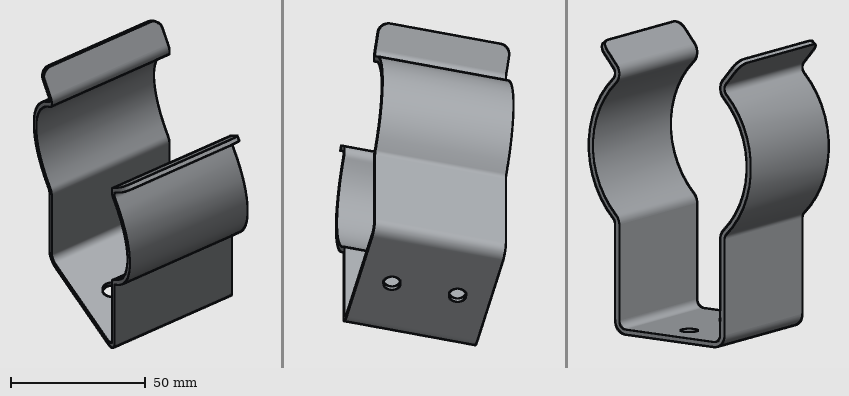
import cadquery as cq
import math

height = 110.0
barrel_width = 74.0
depth = 50.0
thickness = 2.0

wall_half_width = 25.0
base_bend_outer_radius = 5.0
hole_diameter = 6.5
hole_spacing = 25.1

barrel_center_z = 70.0
barrel_outer_radius = barrel_width / 2
bend_radius = 3.0

lip_tilt = math.radians(40)
lip_corner_radius = 4.0

bend_center_x = wall_half_width + bend_radius
center_distance = barrel_outer_radius + bend_radius
bend_angle = math.acos(bend_center_x / center_distance)
bend_rise = center_distance * math.sin(bend_angle)
wall_bend_z = barrel_center_z - bend_rise
throat_bend_z = barrel_center_z + bend_rise

throat_inner_radius = bend_radius + thickness
lip_rise = height - throat_bend_z - throat_inner_radius * math.sin(lip_tilt)
lip_length = lip_rise / math.cos(lip_tilt)


def in_space(point):
    """Point of the XZ plane as a vector."""
    return cq.Vector(point[0], 0, point[1])


def polar(center, radius, angle):
    """Point on a circle in the XZ plane; angle is measured from +X toward +Z."""
    return (center[0] + radius * math.cos(angle), center[1] + radius * math.sin(angle))


def line(start, end):
    """Straight edge in the XZ plane."""
    return cq.Edge.makeLine(in_space(start), in_space(end))


def arc(start, middle, end):
    """Circular edge in the XZ plane."""
    return cq.Edge.makeThreePointArc(in_space(start), in_space(middle), in_space(end))


def sheet_surface(inset):
    """Edges of the +X sheet surface lying `inset` inside the outer one, from base to lip."""
    wall_x = wall_half_width - inset
    base_radius = base_bend_outer_radius - inset
    base_center = (wall_x - base_radius, base_bend_outer_radius)
    barrel_radius = barrel_outer_radius - inset
    barrel_center = (0, barrel_center_z)
    radius = bend_radius + inset
    wall_bend = (bend_center_x, wall_bend_z)
    throat_bend = (bend_center_x, throat_bend_z)

    lip_start_angle = math.pi - lip_tilt
    lip_start = polar(throat_bend, radius, lip_start_angle)
    lip_end = polar(lip_start, lip_length, math.pi / 2 - lip_tilt)
    lip_middle_angle = math.pi + (bend_angle - lip_tilt) / 2

    base_start = (0, inset)
    base_end = (base_center[0], inset)
    wall_start = (wall_x, base_center[1])
    wall_end = (wall_x, wall_bend_z)
    barrel_start = polar(barrel_center, barrel_radius, -bend_angle)
    barrel_end = polar(barrel_center, barrel_radius, bend_angle)
    return [
        line(base_start, base_end),
        arc(base_end, polar(base_center, base_radius, -math.pi / 4), wall_start),
        line(wall_start, wall_end),
        arc(wall_end, polar(wall_bend, radius, math.pi - bend_angle / 2), barrel_start),
        arc(barrel_start, polar(barrel_center, barrel_radius, 0), barrel_end),
        arc(barrel_end, polar(throat_bend, radius, lip_middle_angle), lip_start),
        line(lip_start, lip_end),
    ]


def half_clip():
    """The +X half of the bent sheet, with rounded corners on its lip."""
    outer = sheet_surface(0)
    inner = sheet_surface(thickness)
    base_cut = cq.Edge.makeLine(inner[0].startPoint(), outer[0].startPoint())
    lip_end = cq.Edge.makeLine(outer[-1].endPoint(), inner[-1].endPoint())
    profile = cq.Wire.assembleEdges(outer + [lip_end] + inner[::-1] + [base_cut])
    sheet = cq.Solid.extrudeLinear(profile, [], cq.Vector(0, depth, 0))
    half = cq.Workplane(sheet.translate(cq.Vector(0, -depth / 2, 0)))

    along_lip = cq.Vector(math.sin(lip_tilt), 0, math.cos(lip_tilt))
    through_sheet = cq.Vector(-math.cos(lip_tilt), 0, math.sin(lip_tilt))
    lip_end_face = half.faces(cq.selectors.DirectionMinMaxSelector(along_lip, True))
    lip_corners = lip_end_face.edges(cq.selectors.ParallelDirSelector(through_sheet))
    return lip_corners.fillet(lip_corner_radius)


def mounting_holes():
    """Cutters for the two holes spaced along Y through the base."""
    return (
        cq.Workplane("XY")
        .pushPoints([(0, -hole_spacing / 2), (0, hole_spacing / 2)])
        .circle(hole_diameter / 2)
        .extrude(thickness)
    )


half = half_clip()
clip = half.union(half.mirror("YZ")).clean()
result = clip.cut(mounting_holes())